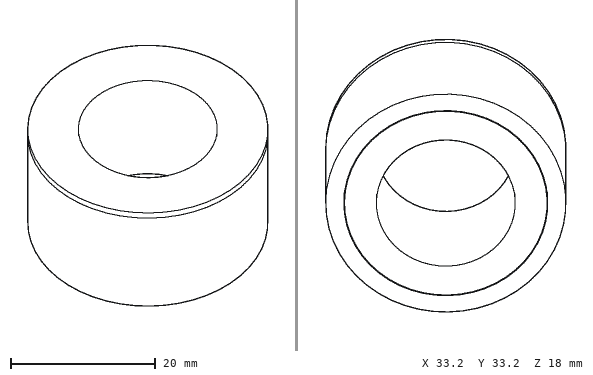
import cadquery as cq

outer_diameter = 33.2
bore_diameter = 19.2
total_height = 18.0

flange_thickness = 1.0
sleeve_diameter = 28.0

ring_hole_diameter = 28.2

ring_height = total_height - flange_thickness


def make_ring():
    """Outer ring around the sleeve, touching the underside of the flange."""
    return (
        cq.Workplane("XY")
        .circle(outer_diameter / 2)
        .circle(ring_hole_diameter / 2)
        .extrude(ring_height)
    )


def make_flanged_bushing():
    """Full-height sleeve with a flange at its top and a plain through bore."""
    sleeve = cq.Workplane("XY").circle(sleeve_diameter / 2).extrude(total_height)
    flange = (
        cq.Workplane("XY")
        .workplane(offset=ring_height)
        .circle(outer_diameter / 2)
        .extrude(flange_thickness)
    )
    bore = cq.Workplane("XY").circle(bore_diameter / 2).extrude(total_height)
    return sleeve.union(flange).cut(bore)


ring = make_ring()
flanged_bushing = make_flanged_bushing()

result = cq.Compound.makeCompound([ring.val(), flanged_bushing.val()])